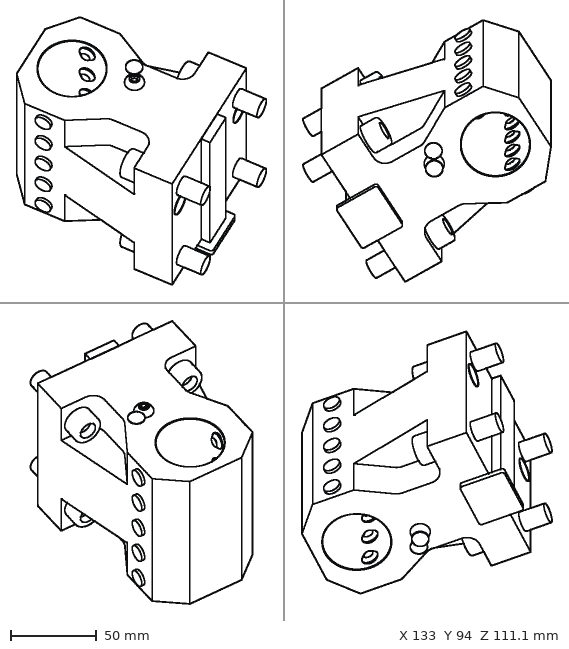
import cadquery as cq
import math

total_length = 133.0
body_length = 117.0
body_height = 100.0
mid_height = body_height / 2

flange_width = 94.0
flange_thickness = 25.0
flange_x = body_length - flange_thickness
nose_half_width = 35.1
nose_face_half_width = 18.1
nose_chamfer_length = 14.1
nose_end_x = 40.3

web_height = 47.9
web_half_width = 22.0
pocket_depth = (body_height - web_height) / 2
pocket_angle = math.radians(30)
pocket_radius = 8.0

bore_x = 27.0
bore_radius = 20.0
bore_chamfer = 0.4

set_radius = 5.0
set_tip_radius = 2.9
set_point_length = set_radius - set_tip_radius
set_cup_depth = 1.7
set_count = 5
set_pitch = 20.5
set_tip_y = 16.8
set_protrusion = 2.0
set_length = nose_half_width + set_protrusion - set_tip_y

bolt_y = 35.5
bolt_z_offset = 34.5
bolt_shank_radius = 6.0
bolt_head_radius = 9.0
bolt_head_length = 10.9
bolt_head_fillet = 1.0
bolt_socket_radius = 5.2
bolt_socket_depth = 5.3
bolt_socket_cone = 2.7

button_x = 63.8
button_y = 8.0
button_radius = 5.9
button_flat_radius = 3.0
button_height = 3.6
button_hex_flats = 3.9
button_socket_depth = 2.4
plug_x = 59.5
plug_y = 16.1
plug_height = 2.5
neck_radius = 2.7
neck_end_z = -4.4
jet_bottom_z = -7.5

key_width = 20.2
key_projection = 5.7
key_end_gap = 0.4
plate_length = 28.0
plate_width = 29.8
plate_thickness = 3.9
plate_start_x = 98.7
plate_corner_radius = 1.6
seal_radius = 7.0
seal_y = 37.2
seal_z = 68.9
seal_projection = 0.4

overlap = 1.3


def make_body():
    outline = [
        (0, nose_face_half_width),
        (nose_chamfer_length, nose_half_width),
        (nose_end_x, nose_half_width),
        (flange_x, flange_width / 2),
        (body_length, flange_width / 2),
    ]
    mirrored = [(x, -y) for x, y in reversed(outline)]
    return cq.Workplane("XY").polyline(outline + mirrored).close().extrude(body_height)


def make_pocket(side, bottom_z):
    """Corner pocket with rounded inner corners; side is +1 or -1 along Y."""
    open_y = flange_width
    ramp_length = (nose_half_width - web_half_width) / math.tan(pocket_angle)
    outline = [
        (nose_end_x, open_y),
        (nose_end_x, nose_half_width),
        (nose_end_x + ramp_length, web_half_width),
        (flange_x, web_half_width),
        (flange_x, open_y),
    ]
    pocket = (
        cq.Workplane("XY", origin=(0, 0, bottom_z))
        .polyline([(x, side * y) for x, y in outline])
        .close()
        .extrude(pocket_depth)
    )
    inner_side = "<Y" if side > 0 else ">Y"
    return pocket.faces(inner_side).edges("|Z").fillet(pocket_radius)


def make_bore():
    bore = cq.Workplane("XY").center(bore_x, 0).circle(bore_radius).extrude(body_height)
    mouth_radius = bore_radius + bore_chamfer
    for start_z, direction in ((0, 1), (body_height, -1)):
        mouth = cq.Solid.makeCone(
            mouth_radius, bore_radius, bore_chamfer,
            cq.Vector(bore_x, 0, start_z), cq.Vector(0, 0, direction),
        )
        bore = bore.union(cq.Workplane(mouth))
    return bore


def turned(profile, start, direction):
    """Revolve (radius, distance) points about an axis from start along direction (along Y or Z)."""
    axis_x = cq.Vector(1, 0, 0)
    normal = axis_x.cross(cq.Vector(*direction))
    flat = cq.Workplane(cq.Plane(origin=start, xDir=axis_x, normal=normal))
    return flat.polyline(profile).close().revolve(360, (0, 0, 0), (0, 1, 0))


def make_set_screw(tip, direction, length, cup_depth):
    """Set screw with its point at tip and its body along direction; no cup when cup_depth is 0."""
    profile = [
        (0, cup_depth),
        (set_tip_radius, 0),
        (set_radius, set_point_length),
        (set_radius, length),
        (0, length),
    ]
    return turned(profile, tip, direction)


def make_bolt(y, z):
    plane = cq.Workplane("YZ", origin=(flange_x - bolt_head_length, y, z))
    head = plane.circle(bolt_head_radius).extrude(bolt_head_length)
    head = head.faces("<X").edges().fillet(bolt_head_fillet)
    socket = plane.circle(bolt_socket_radius).extrude(bolt_socket_depth)
    socket_end = cq.Solid.makeCone(
        bolt_socket_radius, 0, bolt_socket_cone,
        cq.Vector(flange_x - bolt_head_length + bolt_socket_depth, y, z), cq.Vector(1, 0, 0),
    )
    shank = (
        cq.Workplane("YZ", origin=(flange_x, y, z))
        .circle(bolt_shank_radius)
        .extrude(total_length - flange_x)
    )
    return head.cut(socket).cut(cq.Workplane(socket_end)).union(shank)


def make_button(side):
    """Domed fitting pointing along +Z from Z = 0, or along -Z when side is -1."""
    center_depth = (button_radius**2 - button_flat_radius**2 - button_height**2) / (2 * button_height)
    sphere_radius = math.hypot(button_radius, center_depth)
    arc_height = button_height / 2
    arc_radius = math.sqrt(sphere_radius**2 - (arc_height + center_depth) ** 2)
    return (
        cq.Workplane("XZ", origin=(button_x, button_y, 0))
        .moveTo(0, -side * overlap)
        .lineTo(button_radius, -side * overlap)
        .lineTo(button_radius, 0)
        .threePointArc((arc_radius, side * arc_height), (button_flat_radius, side * button_height))
        .lineTo(0, side * button_height)
        .close()
        .revolve(360, (0, 0, 0), (0, 1, 0))
    )


def make_top_button():
    socket = (
        cq.Workplane("XY", origin=(button_x, button_y, button_height))
        .polygon(6, button_hex_flats / math.cos(math.pi / 6))
        .extrude(-button_socket_depth)
    )
    return make_button(1).cut(socket).translate((0, 0, body_height))


def make_bottom_jet():
    neck = cq.Workplane("XY", origin=(button_x, button_y, 0)).circle(neck_radius).extrude(neck_end_z)
    screw = make_set_screw(
        (button_x, button_y, neck_end_z), (0, 0, -1), neck_end_z - jet_bottom_z, 0
    )
    return make_button(-1).union(neck).union(screw)


def make_key():
    return cq.Workplane("XY").box(
        key_projection + overlap, key_width, body_height - 2 * key_end_gap,
        centered=(False, True, False),
    ).translate((body_length - overlap, 0, key_end_gap))


def make_bottom_plate():
    return (
        cq.Workplane("XY", origin=(plate_start_x + plate_length / 2, 0, 0))
        .rect(plate_length, plate_width)
        .extrude(-plate_thickness)
        .edges("|Z")
        .fillet(plate_corner_radius)
    )


result = make_body()
for side in (1, -1):
    for bottom_z in (0, body_height - pocket_depth):
        result = result.cut(make_pocket(side, bottom_z))
result = result.cut(make_bore())

for side in (1, -1):
    for index in range(set_count):
        screw_z = mid_height + (index - (set_count - 1) / 2) * set_pitch
        tip = (bore_x, side * set_tip_y, screw_z)
        result = result.union(make_set_screw(tip, (0, side, 0), set_length, set_cup_depth))
    for z_offset in (bolt_z_offset, -bolt_z_offset):
        result = result.union(make_bolt(side * bolt_y, mid_height + z_offset))
    seal = cq.Workplane("YZ", origin=(body_length, side * seal_y, seal_z))
    result = result.union(seal.circle(seal_radius).extrude(seal_projection))

for face_z, direction in ((body_height, 1), (0, -1)):
    plug = make_set_screw((plug_x, plug_y, face_z), (0, 0, direction), plug_height, 0)
    result = result.union(plug)

result = result.union(make_top_button()).union(make_bottom_jet())
result = result.union(make_key()).union(make_bottom_plate())